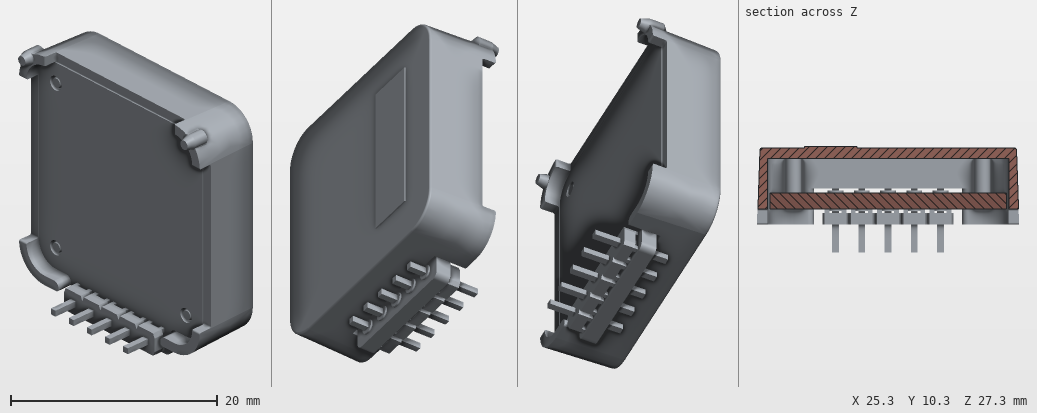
import cadquery as cq
import math


cut_margin = 0.27

overall_height = 27.28
mouth_width = 25.35
mouth_half = mouth_width / 2
mouth_depth = 7.45
back_half = 12.4
corner_centre = 9.15
draft_angle = math.degrees(math.atan((mouth_half - back_half) / mouth_depth))
back_edge_round = 0.22
rim_depth = 5.92
cavity_half = 11.62
floor_thickness = 1.05

corner_start = 9.08
corner_round = 0.2

opening_half = 7.15
opening_inner_round = 0.6
opening_outer_round = 0.33
opening_clearance = 0.4

pin_diameter = 1.53
tip_diameter = 1.0
tip_length = 0.87
locator_x = 11.38
locator_z = 11.65
locator_web = 0.65
locator_root_length = 0.6
peg_offset = 9.15
peg_hole_diameter = 1.58
peg_recess = 0.08

label_thickness = 0.15
label_x_centre = -5.57
label_width = 5.13
label_z_centre = 0.1
label_height = 16.42

board_half = 11.45
board_thickness = 1.58
board_back = rim_depth - board_thickness
tab_half = 6.98
tab_bottom = overall_height - mouth_half
tab_round = 0.7
tab_root_round = 0.65
land_diameter = 1.53
land_thickness = 0.2

contact_count = 5
pitch = 2.55
contact_z = -13.0
contact_width = 0.65
contact_back = 2.35
contact_front = 10.12
block_height = 2.48
foot_depth = 0.38
block_back = rim_depth + foot_depth
notch_width = 0.22
notch_depth = 0.5
foot_outer = pitch / 2 - notch_width
foot_inner = 0.6
foot_height = block_height / 2 - land_diameter / 2

peg_places = [(-peg_offset, peg_offset), (-peg_offset, -peg_offset), (peg_offset, -peg_offset)]
contact_places = [((i - (contact_count - 1) / 2) * pitch, contact_z) for i in range(contact_count)]


def plane_at(depth):
    """XZ sketch plane at the given depth; extruding goes toward -Y."""
    return cq.Workplane("XZ", origin=(0, -depth, 0))


def rounded_square(depth, half, length, taper=0):
    """Square prism whose corner arcs are centred on the common corner centres."""
    radius = half - corner_centre
    outline = cq.Sketch().rect(2 * half, 2 * half).vertices().fillet(radius)
    return plane_at(depth).placeSketch(outline).extrude(length, taper=taper)


def tapered_tip(x, z, depth):
    """Cone that narrows toward -Y from the pin diameter to the tip diameter."""
    return cq.Workplane(
        cq.Solid.makeCone(
            pin_diameter / 2,
            tip_diameter / 2,
            tip_length,
            pnt=cq.Vector(x, -depth, z),
            dir=cq.Vector(0, -1, 0),
        )
    )


def rim_cutter():
    """Prism along Z that lowers the rim between two corners, with rounded ends."""
    r = corner_round
    outer = corner_start + r
    return (
        cq.Workplane("XY")
        .moveTo(-outer, -mouth_depth - cut_margin)
        .lineTo(-outer, -mouth_depth)
        .radiusArc((-corner_start, -mouth_depth + r), -r)
        .lineTo(-corner_start, -rim_depth - r)
        .radiusArc((-corner_start + r, -rim_depth), r)
        .lineTo(corner_start - r, -rim_depth)
        .radiusArc((corner_start, -rim_depth - r), r)
        .lineTo(corner_start, -mouth_depth + r)
        .radiusArc((outer, -mouth_depth), -r)
        .lineTo(outer, -mouth_depth - cut_margin)
        .close()
        .extrude(2 * mouth_half)
    )


def lower_rims(body):
    """Lower the top, left and right walls between the raised corners."""
    top = rim_cutter()
    right = top.rotate((0, 0, 0), (0, 1, 0), 90)
    left = top.rotate((0, 0, 0), (0, 1, 0), -90)
    return body.cut(top).cut(right).cut(left)


def tab_opening():
    """Gap in the bottom wall, flared by rounds at its inner and outer corners."""
    start = board_back - opening_clearance
    inner = opening_inner_round
    outer = opening_outer_round
    z_out = mouth_half
    return (
        plane_at(start)
        .moveTo(-opening_half - inner, -cavity_half)
        .radiusArc((-opening_half, -cavity_half - inner), inner)
        .lineTo(-opening_half, -z_out + outer)
        .radiusArc((-opening_half - outer, -z_out), outer)
        .lineTo(-opening_half - outer, -z_out - cut_margin)
        .lineTo(opening_half + outer, -z_out - cut_margin)
        .lineTo(opening_half + outer, -z_out)
        .radiusArc((opening_half, -z_out + outer), outer)
        .lineTo(opening_half, -cavity_half - inner)
        .radiusArc((opening_half + inner, -cavity_half), inner)
        .close()
        .extrude(mouth_depth - start + cut_margin)
    )


def locator(side):
    """Locating pin on a top corner: web into the wall, cone root, shank and tip."""
    x = side * locator_x
    shank_length = mouth_depth - rim_depth
    shank = plane_at(rim_depth).center(x, locator_z).circle(pin_diameter / 2).extrude(shank_length)
    inward = -side * locator_web
    web = (
        plane_at(rim_depth)
        .center(x, locator_z)
        .polyline([
            (0, 0),
            (0, locator_web),
            (inward, locator_web),
            (inward, -locator_web),
            (-inward, -locator_web),
            (-inward, 0),
        ])
        .close()
        .extrude(shank_length)
    )
    root = cq.Workplane(
        cq.Solid.makeCone(
            pin_diameter / 2,
            0,
            locator_root_length,
            pnt=cq.Vector(x, -rim_depth, locator_z),
            dir=cq.Vector(0, 1, 0),
        )
    )
    return shank.union(web).union(root).union(tapered_tip(x, locator_z, mouth_depth))


def make_housing():
    """Drafted shell with lowered rims, locating pins, tab opening and back label."""
    shell = rounded_square(0, back_half, mouth_depth, -draft_angle)
    shell = shell.faces(">Y").edges().fillet(back_edge_round)
    shell = lower_rims(shell)
    for side in (-1, 1):
        shell = shell.union(locator(side))
    cavity = rounded_square(floor_thickness, cavity_half, mouth_depth - floor_thickness)
    label = (
        plane_at(0)
        .center(label_x_centre, label_z_centre)
        .rect(label_width, label_height)
        .extrude(-label_thickness)
    )
    return shell.cut(cavity).cut(tab_opening()).union(label)


def make_peg(x, z):
    """Peg that stands on the housing floor and ends just behind the board front."""
    shank_end = rim_depth - peg_recess - tip_length
    shank = plane_at(floor_thickness).center(x, z).circle(pin_diameter / 2)
    return shank.extrude(shank_end - floor_thickness).union(tapered_tip(x, z, shank_end))


def contacts():
    """Square contact pins of the header."""
    outline = plane_at(contact_back).pushPoints(contact_places).rect(contact_width, contact_width)
    return outline.extrude(contact_front - contact_back)


def make_board():
    """Board with peg holes and a bottom tab that carries the contact lands."""
    tab = (
        plane_at(board_back)
        .moveTo(0, -tab_bottom / 2)
        .rect(2 * tab_half, tab_bottom)
        .extrude(board_thickness)
        .edges("|Y")
        .edges("<Z")
        .fillet(tab_round)
    )
    board = rounded_square(board_back, board_half, board_thickness).union(tab)
    for side in (-1, 1):
        root_point = (side * tab_half, -rim_depth + board_thickness / 2, -board_half)
        root_edge = cq.selectors.NearestToPointSelector(root_point)
        board = board.edges("|Y").edges(root_edge).fillet(tab_root_round)
    lands = (
        plane_at(board_back - land_thickness)
        .pushPoints(contact_places)
        .circle(land_diameter / 2)
        .extrude(board_thickness + 2 * land_thickness)
    )
    holes = plane_at(board_back).pushPoints(peg_places).circle(peg_hole_diameter / 2).extrude(board_thickness)
    return board.union(lands).cut(holes).cut(contacts())


def header_cell(x):
    """One cell of the header block: chamfered section with four feet on the board."""
    half_width = pitch / 2
    half_height = block_height / 2
    side = half_height - notch_depth
    block = (
        plane_at(block_back)
        .center(x, contact_z)
        .polyline([
            (-half_width, -side),
            (-foot_outer, -half_height),
            (foot_outer, -half_height),
            (half_width, -side),
            (half_width, side),
            (foot_outer, half_height),
            (-foot_outer, half_height),
            (-half_width, side),
        ])
        .close()
        .extrude(mouth_depth - block_back)
    )
    feet = (
        plane_at(rim_depth)
        .center(x, contact_z)
        .rarray(foot_outer + foot_inner, block_height - foot_height, 2, 2)
        .rect(foot_outer - foot_inner, foot_height)
        .extrude(foot_depth)
    )
    return block.union(feet)


def make_header():
    """Header block with its contacts, one solid."""
    header = contacts()
    for x, _ in contact_places:
        header = header.union(header_cell(x))
    return header.clean()


housing = make_housing()
board = make_board()
header = make_header()
pegs = [make_peg(x, z) for x, z in peg_places]

result = cq.Compound.makeCompound([
    housing.val(),
    board.val(),
    header.val(),
    *[peg.val() for peg in pegs],
])